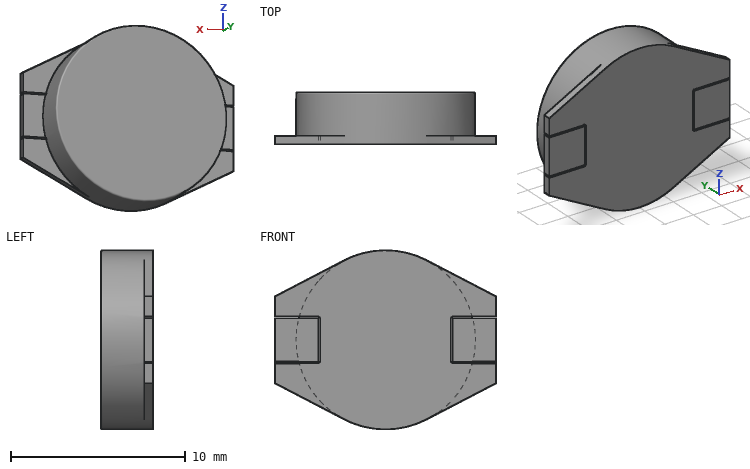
import cadquery as cq
import math

body_diameter = 10.3
body_height = 3.0
rim_fillet = 0.1

flange_length = 12.7
flange_end_width = 5.0
flange_thickness = 0.5

terminal_length = 2.5
terminal_width = 2.5
terminal_gap = 0.1

body_radius = body_diameter / 2
flange_half_length = flange_length / 2
flange_half_width = flange_end_width / 2
terminal_inner_x = flange_half_length - terminal_length


def extrude_along_y(profile, height):
    """Extrude an XZ-plane profile towards +Y."""
    return profile.extrude(-height)


def make_body():
    """Round body with a softened rim on its far face."""
    body = extrude_along_y(cq.Workplane("XZ").circle(body_radius), body_height)
    return body.faces(">Y").edges().fillet(rim_fillet)


def make_flange():
    """Plate whose slanted sides run tangentially from its square ends into the body circle."""
    corner_distance = math.hypot(flange_half_length, flange_half_width)
    corner_angle = math.atan2(flange_half_width, flange_half_length)
    tangent_angle = corner_angle + math.acos(body_radius / corner_distance)
    tangent_x = body_radius * math.cos(tangent_angle)
    tangent_z = body_radius * math.sin(tangent_angle)
    outline = (
        cq.Workplane("XZ")
        .moveTo(flange_half_length, -flange_half_width)
        .lineTo(flange_half_length, flange_half_width)
        .lineTo(tangent_x, tangent_z)
        .threePointArc((0, body_radius), (-tangent_x, tangent_z))
        .lineTo(-flange_half_length, flange_half_width)
        .lineTo(-flange_half_length, -flange_half_width)
        .lineTo(-tangent_x, -tangent_z)
        .threePointArc((0, -body_radius), (tangent_x, -tangent_z))
        .close()
    )
    return extrude_along_y(outline, flange_thickness)


def make_terminal_groove(side):
    """Even-width groove around three sides of the terminal at the X end given by side (+1 or -1)."""
    floor_x = terminal_inner_x - terminal_gap
    terminal_half = terminal_width / 2
    groove_half = terminal_half + terminal_gap
    outline = (
        cq.Workplane("XZ")
        .moveTo(side * flange_half_length, groove_half)
        .lineTo(side * terminal_inner_x, groove_half)
        .lineTo(side * floor_x, terminal_half)
        .lineTo(side * floor_x, -terminal_half)
        .lineTo(side * terminal_inner_x, -groove_half)
        .lineTo(side * flange_half_length, -groove_half)
        .lineTo(side * flange_half_length, -terminal_half)
        .lineTo(side * terminal_inner_x, -terminal_half)
        .lineTo(side * terminal_inner_x, terminal_half)
        .lineTo(side * flange_half_length, terminal_half)
        .close()
    )
    return extrude_along_y(outline, flange_thickness)


result = make_body().union(make_flange())
for side in (-1, 1):
    result = result.cut(make_terminal_groove(side))